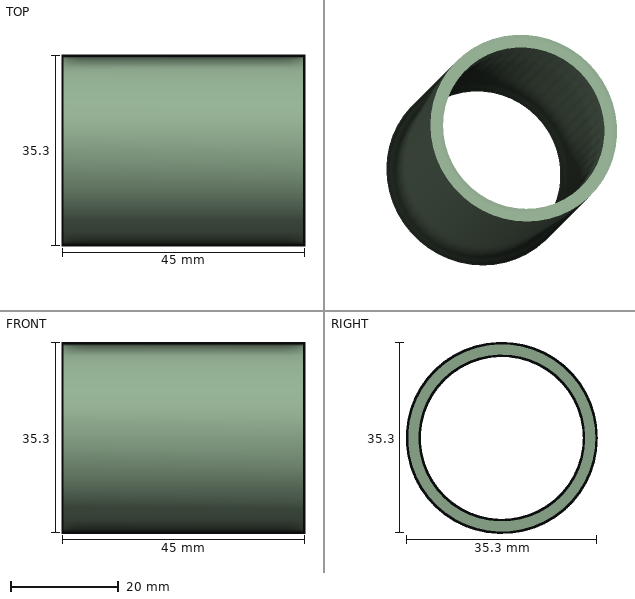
import cadquery as cq

length = 45.0
outer_diameter = 35.3
wall_thickness = 2.4
inner_diameter = outer_diameter - 2 * wall_thickness


def make_sleeve():
    """Extrude the ring-shaped cross-section along X from one end face to the other."""
    end_face = cq.Workplane("YZ").workplane(offset=-length / 2)
    ring = end_face.circle(outer_diameter / 2).circle(inner_diameter / 2)
    return ring.extrude(length)


result = make_sleeve()